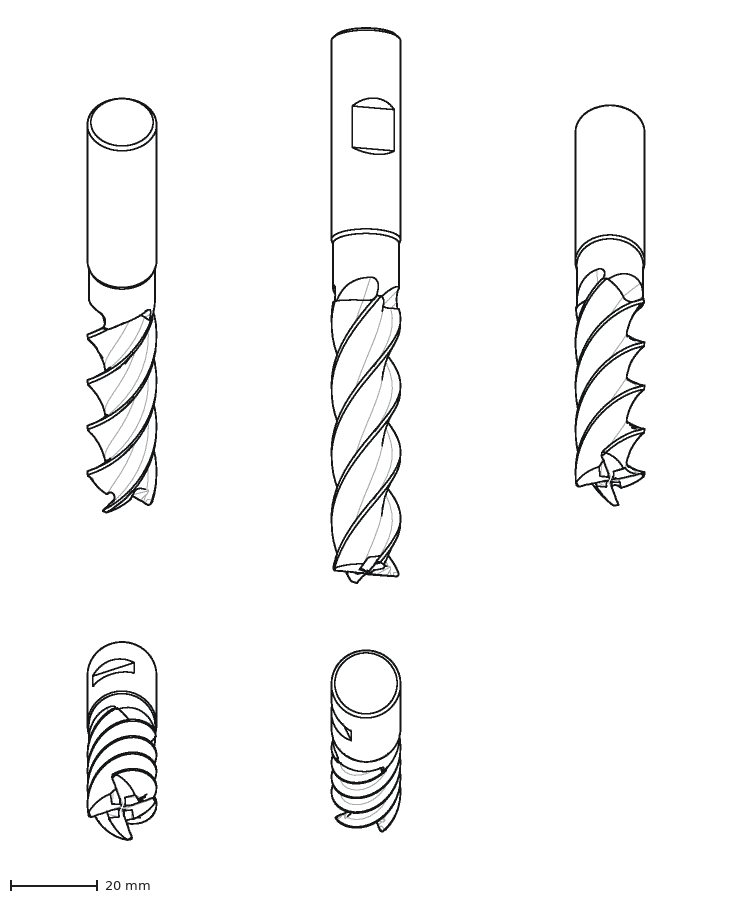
import cadquery as cq
import math

total_length = 130.0
cutting_length = 65.0
cutting_radius = 8.0
shank_radius = 8.0
neck_radius = 7.65

shank_end_z = 81.0
neck_top_z = 80.0
top_chamfer = 0.8

flat_y = 6.2
flat_centre_z = total_length - 24.0
flat_length = 10.0

tooth_count = 4
tooth_pitch = 360.0 / tooth_count
helix_angle = 38.0
lead = 2 * math.pi * cutting_radius / math.tan(math.radians(helix_angle))
twist = 360.0 * cutting_length / lead
top_edge_angle = -87.5
bottom_edge_angle = top_edge_angle - twist

rake_angle = 7.7
rake_length = 2.0
land_angle = 8.0
land_end_radius = 7.95
heel_radius = 4.05
heel_angle = 61.5
back_bulge = 0.5

runout_height = 5.2
runout_outward = 4.3
runout_sideways = 2.0
runout_angle = -18.0
clear_radius = 14.0

corner_chamfer = 0.5
end_relief_angle = 17.0
end_relief_width = 5.0
end_land_width = 0.4
gash_width = 2.0
gash_overlap = 0.2
gash_slope = 40.0
gash_lean = 32.0
gash_start_radius = 0.8
gash_length = 12.0


def polar(radius, angle):
    return cq.Vector(radius * math.cos(math.radians(angle)), radius * math.sin(math.radians(angle)))


def rake_foot(edge_angle):
    """Inner end of the straight rake face of the tooth whose cutting edge is at edge_angle."""
    return polar(cutting_radius, edge_angle) + polar(rake_length, edge_angle + 180.0 - rake_angle)


def flute_edges(edge_angle):
    """Tooth back, flute floor and rake face, from one tooth's land to the edge of the next tooth."""
    land_end = polar(land_end_radius, edge_angle + land_angle)
    heel = polar(heel_radius, edge_angle + heel_angle)
    next_edge_angle = edge_angle + tooth_pitch
    next_edge = polar(cutting_radius, next_edge_angle)
    foot = rake_foot(next_edge_angle)
    middle = (land_end + heel) * 0.5
    back_middle = middle + middle.normalized() * back_bulge
    normal = polar(1.0, next_edge_angle - 90.0 - rake_angle)
    chord = heel - foot
    floor_radius = chord.dot(chord) / (2 * chord.dot(normal))
    floor_centre = foot + normal * floor_radius
    floor_middle = floor_centre + ((foot + heel) * 0.5 - floor_centre).normalized() * floor_radius
    return [
        cq.Edge.makeThreePointArc(land_end, back_middle, heel),
        cq.Edge.makeThreePointArc(heel, floor_middle, foot),
        cq.Edge.makeLine(foot, next_edge),
    ]


def make_corner_ring():
    return (
        cq.Workplane("XZ")
        .moveTo(cutting_radius - corner_chamfer, 0)
        .lineTo(clear_radius, 0)
        .lineTo(clear_radius, corner_chamfer)
        .lineTo(cutting_radius, corner_chamfer)
        .close()
        .revolve(360, (0, 0, 0), (0, 1, 0))
    )


def make_end_relief():
    """Wedge behind an edge lying along +X; it deepens away from the edge."""
    relief_depth = end_relief_width * math.tan(math.radians(end_relief_angle))
    return (
        cq.Workplane("YZ")
        .lineTo(end_relief_width, 0)
        .lineTo(end_relief_width, relief_depth)
        .close()
        .extrude(clear_radius)
        .translate((0, end_land_width, 0))
    )


def make_gash():
    """Round-topped slot in front of an edge lying along +X, rising outward."""
    slot_radius = gash_width / 2
    return (
        cq.Workplane("YZ")
        .lineTo(0, -slot_radius)
        .threePointArc((-slot_radius, 0), (-gash_width, -slot_radius))
        .lineTo(-gash_width, -gash_length)
        .lineTo(0, -gash_length)
        .close()
        .extrude(gash_length)
        .rotate((0, 0, 0), (0, 1, 0), -gash_slope)
        .rotate((0, 0, 0), (1, 0, 0), -gash_lean)
        .translate((gash_start_radius, gash_overlap, 0))
    )


def make_cutter():
    edges = []
    for tooth in range(tooth_count):
        edge_angle = bottom_edge_angle + tooth * tooth_pitch
        cutting_edge = polar(cutting_radius, edge_angle)
        land_end = polar(land_end_radius, edge_angle + land_angle)
        edges.append(cq.Edge.makeLine(cutting_edge, land_end))
        edges.extend(flute_edges(edge_angle))
    section = cq.Wire.assembleEdges(edges)
    axis = cq.Vector(0, 0, cutting_length)
    cutter = cq.Workplane(cq.Solid.extrudeLinearWithRotation(section, [], cq.Vector(), axis, twist))
    cutter = cutter.cut(make_corner_ring())
    for tooth in range(tooth_count):
        edge_angle = bottom_edge_angle + tooth * tooth_pitch
        end_cut = make_end_relief().union(make_gash())
        cutter = cutter.cut(end_cut.rotate((0, 0, 0), (0, 0, 1), edge_angle))
    return cutter


def make_runout(edge_angle):
    """Flute space above the cutter, leaning outward until it leaves the neck."""
    next_edge = polar(cutting_radius, edge_angle + tooth_pitch)
    land_end = polar(land_end_radius, edge_angle + land_angle)
    outer_next = polar(clear_radius, edge_angle + tooth_pitch)
    outer_land = polar(clear_radius, edge_angle + land_angle)
    outer_middle = polar(clear_radius, edge_angle + (land_angle + tooth_pitch) / 2)
    section = cq.Wire.assembleEdges(
        flute_edges(edge_angle)
        + [
            cq.Edge.makeLine(next_edge, outer_next),
            cq.Edge.makeThreePointArc(outer_next, outer_middle, outer_land),
            cq.Edge.makeLine(outer_land, land_end),
        ]
    ).translate(cq.Vector(0, 0, cutting_length))
    floor_angle = edge_angle + tooth_pitch + runout_angle
    lean = polar(runout_outward, floor_angle) + polar(runout_sideways, floor_angle + 90.0)
    return cq.Workplane(
        cq.Solid.extrudeLinear(section, [], lean + cq.Vector(0, 0, runout_height))
    )


def make_shank():
    body = (
        cq.Workplane("XZ")
        .moveTo(0, cutting_length)
        .lineTo(neck_radius, cutting_length)
        .lineTo(neck_radius, neck_top_z)
        .lineTo(shank_radius, shank_end_z)
        .lineTo(shank_radius, total_length - top_chamfer)
        .lineTo(shank_radius - top_chamfer, total_length)
        .lineTo(0, total_length)
        .close()
        .revolve(360, (0, 0, 0), (0, 1, 0))
    )
    flat_depth = shank_radius - flat_y
    flat_cut = (
        cq.Workplane("YZ")
        .moveTo(flat_y, flat_centre_z - flat_length / 2)
        .lineTo(flat_y, flat_centre_z + flat_length / 2)
        .lineTo(shank_radius, flat_centre_z + flat_length / 2 + flat_depth)
        .lineTo(shank_radius, flat_centre_z - flat_length / 2 - flat_depth)
        .close()
        .extrude(shank_radius, both=True)
    )
    body = body.cut(flat_cut)
    for tooth in range(tooth_count):
        body = body.cut(make_runout(top_edge_angle + tooth * tooth_pitch))
    return body


shank = make_shank()
cutter = make_cutter()
result = cq.Compound.makeCompound([shank.val(), cutter.val()])